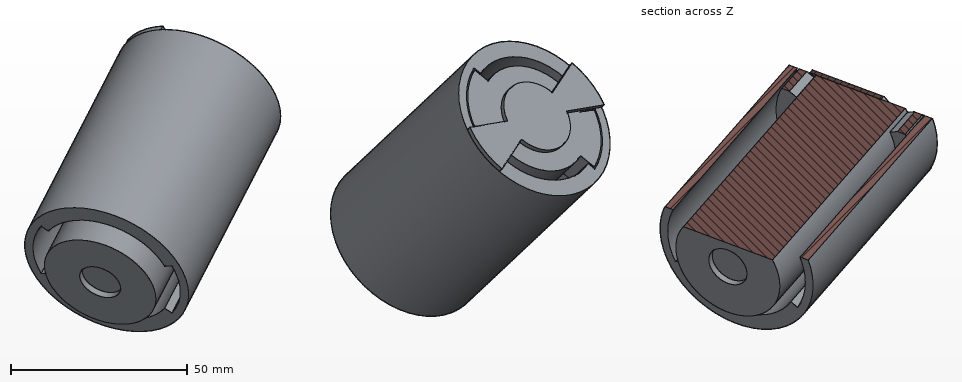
import cadquery as cq
import math

overall_length = 77.5
nose_projection = 4.95
plate_thickness = 1.5
recess_depth = 2.0
key_length = 10.0

housing_radius = 50.1 / 2
bore_radius = 40.0 / 2
slot_radius = 22.5
key_radius = 22.0
plunger_radius = 34.0 / 2
recess_radius = 12.5 / 2
hub_radius = 22.0 / 2

slot_angle = 55.0
key_angle = 52.6
blade_angle = 35.0
side_directions = (0.0, 180.0)
blade_directions = (135.0, 315.0)

plate_front = overall_length - plate_thickness
housing_length = plate_front - nose_projection


def cylinder(radius, start, length):
    """Solid cylinder along +Y, beginning at Y = start."""
    plane = cq.Workplane("XZ", origin=(0, start, 0))
    return plane.circle(radius).extrude(-length)


def sector(radius, direction, spread, start, length):
    """Pie-shaped prism along +Y, centred on a direction in the XZ plane."""
    def rim_point(angle):
        turn = math.radians(angle)
        return (radius * math.cos(turn), radius * math.sin(turn))

    return (
        cq.Workplane("XZ", origin=(0, start, 0))
        .lineTo(*rim_point(direction - spread / 2))
        .threePointArc(rim_point(direction), rim_point(direction + spread / 2))
        .close()
        .extrude(-length)
    )


def make_housing():
    """Tube whose bore has a full-length key slot on each side."""
    tube = cylinder(housing_radius, nose_projection, housing_length)
    tube = tube.cut(cylinder(bore_radius, nose_projection, housing_length))
    for direction in side_directions:
        tube = tube.cut(sector(slot_radius, direction, slot_angle, nose_projection, housing_length))
    return tube


def make_plunger():
    """Round plunger with a nose recess and two guide keys at its inner end."""
    body = cylinder(plunger_radius, 0, plate_front)
    for direction in side_directions:
        body = body.union(sector(key_radius, direction, key_angle, plate_front - key_length, key_length))
    return body.cut(cylinder(recess_radius, 0, recess_depth))


def make_end_plate():
    """Hub with two opposite blades that reach the housing's outer surface."""
    plate = cylinder(hub_radius, plate_front, plate_thickness)
    for direction in blade_directions:
        plate = plate.union(sector(housing_radius, direction, blade_angle, plate_front, plate_thickness))
    return plate


housing = make_housing()
plunger = make_plunger()
end_plate = make_end_plate()

result = cq.Compound.makeCompound([housing.val(), plunger.val(), end_plate.val()])